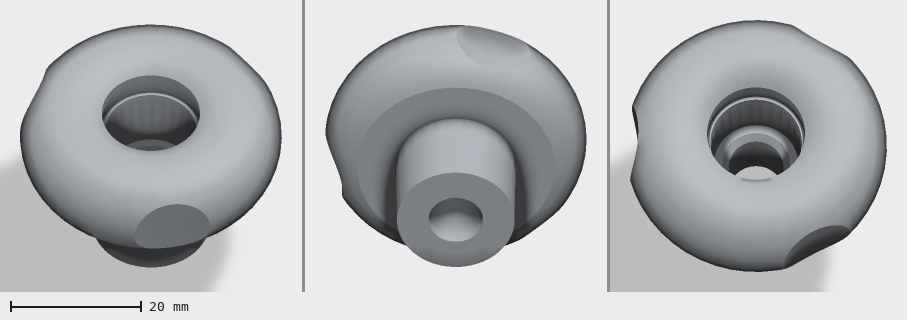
import cadquery as cq
import math

outer_diameter = 40.0
rim_diameter = 15.0
rim_radius = rim_diameter / 2
ring_radius = outer_diameter / 2 - rim_radius
total_height = 28.0
head_bottom = 13.5
rim_center_height = total_height - rim_radius

stem_bottom_diameter = 18.0
stem_draft = 1.0

bore_diameter = 15.0
bore_depth = 6.0
pocket_top_diameter = 14.0
pocket_bottom_diameter = 12.95
pocket_depth = 10.0
through_diameter = 8.35
countersink_diameter = 10.4

scallop_count = 3
scallop_radius = 16.0
scallop_floor = 18.0
first_scallop_angle = 90.0


def rim_half_chord(distance):
    """Half the chord of the rim's round section at this distance from its center."""
    return math.sqrt(rim_radius**2 - distance**2)


def make_head():
    """Ring with a round outside, a flat underside and a top dipping towards the bore."""
    bore_radius = bore_diameter / 2
    bottom_radius = ring_radius + rim_half_chord(rim_center_height - head_bottom)
    bore_edge_height = rim_center_height + rim_half_chord(ring_radius - bore_radius)
    profile = (
        cq.Workplane("XZ")
        .moveTo(0, head_bottom)
        .lineTo(bottom_radius, head_bottom)
        .threePointArc((outer_diameter / 2, rim_center_height), (bore_radius, bore_edge_height))
        .lineTo(0, bore_edge_height)
        .close()
    )
    return profile.revolve(360, (0, 0, 0), (0, 1, 0))


def make_stem():
    """Conical stem from the base up to the underside of the head."""
    bottom_radius = stem_bottom_diameter / 2
    top_radius = bottom_radius + head_bottom * math.tan(math.radians(stem_draft))
    return cq.Workplane(cq.Solid.makeCone(bottom_radius, top_radius, head_bottom))


def make_center_hole():
    """Bore, tapered pocket, countersink and through hole as one cutter."""
    pocket_top = total_height - bore_depth
    pocket_floor = pocket_top - pocket_depth
    through_radius = through_diameter / 2
    countersink_radius = countersink_diameter / 2
    countersink_depth = countersink_radius - through_radius
    profile = cq.Workplane("XZ").polyline([
        (0, 0),
        (through_radius, 0),
        (through_radius, pocket_floor - countersink_depth),
        (countersink_radius, pocket_floor),
        (pocket_bottom_diameter / 2, pocket_floor),
        (pocket_top_diameter / 2, pocket_top),
        (bore_diameter / 2, pocket_top),
        (bore_diameter / 2, total_height),
        (0, total_height),
    ]).close()
    return profile.revolve(360, (0, 0, 0), (0, 1, 0))


def make_scallops():
    """Upright cylinders spaced evenly around the rim."""
    center_distance = scallop_floor + scallop_radius
    return (
        cq.Workplane("XY")
        .workplane(offset=head_bottom)
        .polarArray(center_distance, first_scallop_angle, 360, scallop_count)
        .circle(scallop_radius)
        .extrude(total_height - head_bottom)
    )


result = make_head().cut(make_scallops()).union(make_stem()).cut(make_center_hole())